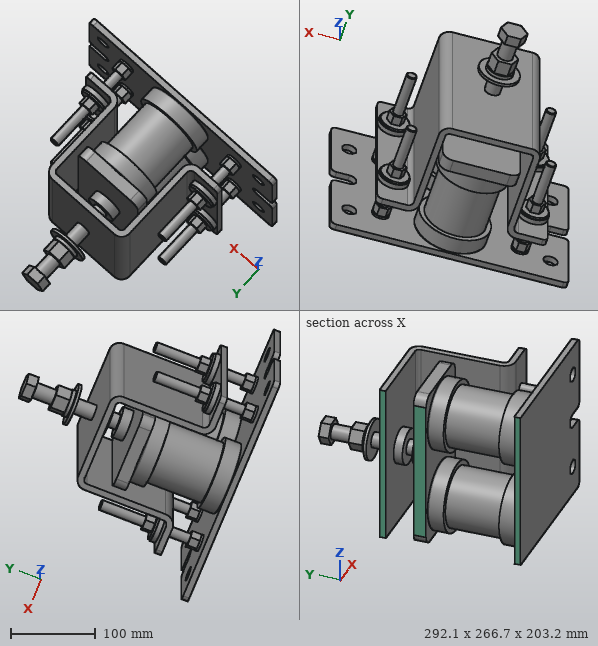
import cadquery as cq
import math

INCH = 25.4

PLATE_WIDTH = 11.5 * INCH
PLATE_HEIGHT = 8 * INCH
PLATE_THICKNESS = 5 / 16 * INCH
CORNER_RADIUS = 0.25 * INCH
MOUNT_HOLE_DIAMETER = 11 / 16 * INCH
MOUNT_HOLE_X = 4.875 * INCH
MOUNT_HOLE_Z = 2.5 * INCH

BRACKET_FRONT_Y = 2 * INCH
BRACKET_BACK_Y = 7 * INCH
BRACKET_THICKNESS = 5 / 16 * INCH
BRACKET_HALF_SPAN = 4.125 * INCH
CHANNEL_HALF_WIDTH = 2.4375 * INCH
BACK_BEND_RADIUS = 0.5 * INCH
FOOT_BEND_RADIUS = 0.25 * INCH

ROW_Z = 4.375 / 2 * INCH
CUSHION_FLANGE_DIAMETER = 3.5 * INCH
CUSHION_BODY_DIAMETER = 3 * INCH
CUSHION_FLANGE_LENGTH = 13 / 16 * INCH
CUSHION_EDGE_RADIUS = 1.6
PRESSURE_PLATE_WIDTH = 3.75 * INCH
PRESSURE_PLATE_HEIGHT = 8 * INCH
PRESSURE_PLATE_FRONT_Y = 119.1
PRESSURE_PLATE_BACK_Y = 135.0
PRESSURE_PLATE_CORNER_RADIUS = 0.5 * INCH

SCREW_DIAMETER = 0.75 * INCH
SCREW_HEX_WIDTH = 1.125 * INCH
SCREW_END_Y = 10.5 * INCH
SCREW_HEAD_LENGTH = 0.5 * INCH
BOSS_DIAMETER = 1.5 * INCH
BOSS_LENGTH = 0.5 * INCH
COLLAR_DIAMETER = 1.75 * INCH
COLLAR_LENGTH = 11.1
WASHER_DIAMETER = 2 * INCH
WASHER_FRONT_Y = 8 * INCH
WASHER_THICKNESS = 3.7
LOCK_WASHER_DIAMETER = 33.6
LOCK_WASHER_THICKNESS = 4.6
SCREW_NUT_LENGTH = 17.5

STUD_X = 3.375 * INCH
STUD_DIAMETER = 0.5 * INCH
STUD_END_Y = 135.0
STUD_CHAMFER = 1.0
STUD_HEX_WIDTH = 0.72 * INCH
STUD_NUT_LENGTH = 11.7
NUT_FACE_DIAMETER = 20.8
NUT_FACE_LENGTH = 2.7
STUD_WASHER_DIAMETER = 1.5 * INCH
STUD_WASHER_THICKNESS = 0.25 * INCH
STUD_LOCK_WASHER_DIAMETER = 35.4
STUD_LOCK_WASHER_THICKNESS = 2.65


def cylinder(diameter, start_y, length, x=0, z=0):
    """Cylinder along +Y that starts at (x, start_y, z)."""
    return cq.Workplane("XZ", origin=(x, start_y, z)).circle(diameter / 2).extrude(-length)


def hexagon(width_across_flats, start_y, length, x=0, z=0):
    """Hexagonal prism along +Y with corners pointing in -X and +X."""
    corner_diameter = width_across_flats / math.cos(math.pi / 6)
    return (
        cq.Workplane("XZ", origin=(x, start_y, z))
        .polygon(6, corner_diameter)
        .extrude(-length)
    )


def block(width, height, start_y, length):
    """Box along +Y centred on the axis X = Z = 0."""
    return cq.Workplane("XZ", origin=(0, start_y, 0)).rect(width, height).extrude(-length)


def base_plate():
    """Plate with four round holes and an open round-ended slot in each side."""
    plate = block(PLATE_WIDTH, PLATE_HEIGHT, 0, PLATE_THICKNESS)
    edge_x = PLATE_WIDTH / 2
    slot_depth = edge_x - MOUNT_HOLE_X
    slot = block(2 * slot_depth, MOUNT_HOLE_DIAMETER, 0, PLATE_THICKNESS)
    for slot_x in (-edge_x, edge_x):
        plate = plate.cut(slot.translate((slot_x, 0, 0)))
    plate = plate.faces("<X or >X").edges("|Y").fillet(CORNER_RADIUS)
    for x in (-MOUNT_HOLE_X, MOUNT_HOLE_X):
        for z in (-MOUNT_HOLE_Z, 0, MOUNT_HOLE_Z):
            plate = plate.cut(cylinder(MOUNT_HOLE_DIAMETER, 0, PLATE_THICKNESS, x, z))
    return plate


def bracket():
    """Hat-shaped bracket: the +X half is bent from a stepped outline, then mirrored."""
    foot_back_y = BRACKET_FRONT_Y + BRACKET_THICKNESS
    inner_x = CHANNEL_HALF_WIDTH - BRACKET_THICKNESS
    span = BRACKET_HALF_SPAN
    half_outline = [
        (0, BRACKET_BACK_Y),
        (CHANNEL_HALF_WIDTH, BRACKET_BACK_Y),
        (CHANNEL_HALF_WIDTH, foot_back_y),
        (span, foot_back_y),
        (span, BRACKET_FRONT_Y),
        (inner_x, BRACKET_FRONT_Y),
        (inner_x, BRACKET_BACK_Y - BRACKET_THICKNESS),
        (0, BRACKET_BACK_Y - BRACKET_THICKNESS),
    ]
    half = (
        cq.Workplane("XY", origin=(0, 0, -PLATE_HEIGHT / 2))
        .polyline(half_outline)
        .close()
        .extrude(PLATE_HEIGHT)
    )
    bends = [
        (CHANNEL_HALF_WIDTH, BRACKET_BACK_Y, BACK_BEND_RADIUS),
        (inner_x, BRACKET_BACK_Y - BRACKET_THICKNESS, BACK_BEND_RADIUS - BRACKET_THICKNESS),
        (CHANNEL_HALF_WIDTH, foot_back_y, FOOT_BEND_RADIUS),
        (inner_x, BRACKET_FRONT_Y, FOOT_BEND_RADIUS + BRACKET_THICKNESS),
    ]
    for x, y, radius in bends:
        half = half.edges(cq.selectors.NearestToPointSelector((x, y, 0))).fillet(radius)
    half = half.faces(">X").edges("|Y").fillet(CORNER_RADIUS)
    return half.union(half.mirror("YZ"))


def cushion_flange(start_y, end_face, z):
    """Cushion flange, rounded around the end face that bears on a plate."""
    flange = cylinder(CUSHION_FLANGE_DIAMETER, start_y, CUSHION_FLANGE_LENGTH, z=z)
    return flange.faces(end_face).edges().fillet(CUSHION_EDGE_RADIUS)


def cushion(z):
    """Cushion between the base plate and the pressure plate."""
    start_y = PLATE_THICKNESS
    end_y = PRESSURE_PLATE_FRONT_Y
    return (
        cylinder(CUSHION_BODY_DIAMETER, start_y, end_y - start_y, z=z)
        .union(cushion_flange(start_y, "<Y", z))
        .union(cushion_flange(end_y - CUSHION_FLANGE_LENGTH, ">Y", z))
    )


def pressure_plate():
    """Round-cornered plate across the back of both cushions."""
    length = PRESSURE_PLATE_BACK_Y - PRESSURE_PLATE_FRONT_Y
    plate = block(PRESSURE_PLATE_WIDTH, PRESSURE_PLATE_HEIGHT, PRESSURE_PLATE_FRONT_Y, length)
    return plate.edges("|Y").fillet(PRESSURE_PLATE_CORNER_RADIUS)


def adjusting_screw():
    """Screw with its boss, the collar inside the bracket, washers, nut and head."""
    start_y = PRESSURE_PLATE_BACK_Y
    collar_y = BRACKET_BACK_Y - BRACKET_THICKNESS - COLLAR_LENGTH
    lock_washer_y = WASHER_FRONT_Y + WASHER_THICKNESS
    nut_y = lock_washer_y + LOCK_WASHER_THICKNESS
    head_y = SCREW_END_Y - SCREW_HEAD_LENGTH
    return (
        cylinder(SCREW_DIAMETER, start_y, SCREW_END_Y - start_y)
        .union(cylinder(BOSS_DIAMETER, start_y, BOSS_LENGTH))
        .union(cylinder(COLLAR_DIAMETER, collar_y, COLLAR_LENGTH))
        .union(cylinder(WASHER_DIAMETER, WASHER_FRONT_Y, WASHER_THICKNESS))
        .union(cylinder(LOCK_WASHER_DIAMETER, lock_washer_y, LOCK_WASHER_THICKNESS))
        .union(hexagon(SCREW_HEX_WIDTH, nut_y, SCREW_NUT_LENGTH))
        .union(hexagon(SCREW_HEX_WIDTH, head_y, SCREW_HEAD_LENGTH))
    )


def guide_stud(x, z):
    """Stud on the base plate with a nut at its root and washers and a nut on the bracket foot."""
    start_y = PLATE_THICKNESS
    washer_y = BRACKET_FRONT_Y + BRACKET_THICKNESS
    lock_washer_y = washer_y + STUD_WASHER_THICKNESS
    nut_y = lock_washer_y + STUD_LOCK_WASHER_THICKNESS
    rod = cylinder(STUD_DIAMETER, start_y, STUD_END_Y - start_y, x, z)
    return (
        rod.faces(">Y").chamfer(STUD_CHAMFER)
        .union(cylinder(NUT_FACE_DIAMETER, start_y, NUT_FACE_LENGTH, x, z))
        .union(hexagon(STUD_HEX_WIDTH, start_y + NUT_FACE_LENGTH, STUD_NUT_LENGTH, x, z))
        .union(cylinder(STUD_WASHER_DIAMETER, washer_y, STUD_WASHER_THICKNESS, x, z))
        .union(cylinder(STUD_LOCK_WASHER_DIAMETER, lock_washer_y, STUD_LOCK_WASHER_THICKNESS, x, z))
        .union(hexagon(STUD_HEX_WIDTH, nut_y, STUD_NUT_LENGTH, x, z))
    )


result = base_plate().union(bracket()).union(pressure_plate()).union(adjusting_screw())
for row_z in (-ROW_Z, ROW_Z):
    result = result.union(cushion(row_z))
    for stud_x in (-STUD_X, STUD_X):
        result = result.union(guide_stud(stud_x, row_z))